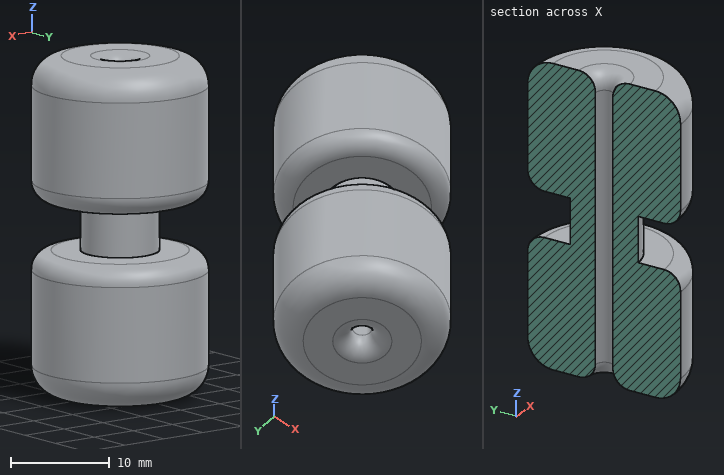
import cadquery as cq

total_height = 35.0
roller_diameter = 18.0
neck_diameter = 8.0
neck_length = 5.2
bore_diameter = 2.0

outer_end_fillet = 3.0
inner_end_fillet = 2.0
bore_mouth_fillet = 2.0

roller_height = (total_height - neck_length) / 2


def roller(base_z):
    """Plain cylindrical roller standing on base_z."""
    return cq.Workplane("XY").workplane(offset=base_z).circle(roller_diameter / 2).extrude(roller_height)


lower_roller = roller(-total_height / 2)
lower_roller = lower_roller.faces("<Z").edges().fillet(outer_end_fillet)
lower_roller = lower_roller.faces(">Z").edges().fillet(inner_end_fillet)
upper_roller = lower_roller.mirror("XY")

neck = cq.Workplane("XY").circle(neck_diameter / 2).extrude(neck_length / 2, both=True)
body = lower_roller.union(neck).union(upper_roller)

bore = cq.Workplane("XY").circle(bore_diameter / 2).extrude(total_height / 2, both=True)
body = body.cut(bore)
bore_rims = body.faces("<Z or >Z").edges(cq.selectors.RadiusNthSelector(0))
result = bore_rims.fillet(bore_mouth_fillet)